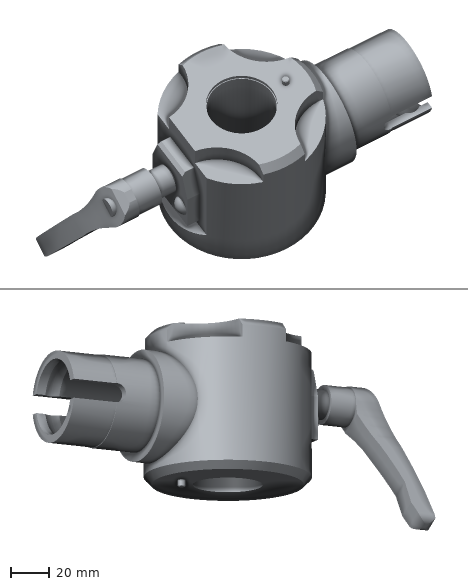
import cadquery as cq
import math


BODY_D = 88.0
BODY_TOP = 43.3
BODY_BOTTOM = -37.2
BODY_CHAMFER = 4.0
BORE_D = 36.6
BORE_RECESS_D = 37.5
BORE_RECESS_DEPTH = 2.0

SCALLOP_R = 27.5
SCALLOP_CENTER_R = 56.8
SCALLOP_DEPTH = 10.5
SCALLOP_COUNT = 4
SCALLOP_START_ANGLE = 45

PIN_D = 4.0
PIN_Y = 27.1
PIN_TOP = 46.7
PIN_BOTTOM = -40.9
PIN_CHAMFER = 0.5

FLAT_Y = -36.6
FLAT_BOTTOM = -17.4
RAMP_DROP = 6.5

COLLAR_D = 59.0
COLLAR_END = 52.4
STUB_D = 49.4
STUB_STEP_Y = 77.3
STUB_TIP_D = 48.5
STUB_END = 102.4
STUB_BORE_D = 40.0
SLOT_WIDTH = 10.1
GROOVE_D = 12.0
GROOVE_DEPTH = 1.6
GROOVE_FROM_END = 9.3

PLATE_THICKNESS = 7.5
PLATE_HALF_WIDTH = 17.4
PLATE_TOP_HALF_WIDTH = 11.7
PLATE_BOTTOM = -12.1
PLATE_TOP = 27.5
PLATE_CHAMFER = 2.0
SCREW_D = 10.5
SCREW_HEIGHT = 3.2
SCREW_X = 11.1
SCREW_Z = -1.2

CLAMP_Z = 11.0
NECK_D = 12.0
NECK_END = -45.3
STEM_D = 16.0
STEM_END = -55.5
HUB_D = 21.0
HUB_END = -69.5
CAP_D = 10.5
CAP_END = -82.3

LEVER_ANGLE = 30.0
LEVER_HEAD_R = 11.1
LEVER_LENGTH = 79.0
LEVER_HEAD_FLAT_AT = 10.7
LEVER_NECK_START = 4.0
LEVER_NECK_MIDDLE_AT = 14.5
LEVER_NECK_MIDDLE_HALF = 7.0
LEVER_ARM_AT = 30.3
LEVER_ARM_HALF = 6.3
LEVER_TIP_HALF = 5.7
LEVER_TIP_ROUND = 4.5
LEVER_FRONT_END = -100.0

HEAD_BEVEL_BACK = (-73.8, LEVER_HEAD_FLAT_AT)
HEAD_BEVEL_FRONT = (-78.3, 7.9)
FRONT_CURVE_MIDDLE = (-91.6, -30.3)
FRONT_CURVE_END = (LEVER_FRONT_END, -77.3)
TIP_BOTTOM = (-95.5, -LEVER_LENGTH)
TIP_BACK = (-89.8, -74.6)
GRIP_BACK_LOW = (-87.5, -68.4)
GRIP_BACK_HIGH = (-87.4, -54.5)
BACK_CURVE_MIDDLE = (-79.7, -32.4)
BACK_CURVE_TOP = (HUB_END, -11.3)

BODY_R = BODY_D / 2
PLATE_FRONT = FLAT_Y - PLATE_THICKNESS


def cylinder_y(diameter, y_start, y_end, x=0, z=0):
    """Cylinder parallel to Y between two Y positions."""
    length = abs(y_end - y_start)
    direction = cq.Vector(0, math.copysign(1, y_end - y_start), 0)
    return cq.Workplane(cq.Solid.makeCylinder(diameter / 2, length, cq.Vector(x, y_start, z), direction))


def make_body():
    body = cq.Workplane().workplane(offset=BODY_BOTTOM).circle(BODY_R).extrude(BODY_TOP - BODY_BOTTOM)
    body = body.faces("<Z or >Z").chamfer(BODY_CHAMFER)
    scallops = (
        cq.Workplane()
        .workplane(offset=BODY_TOP - SCALLOP_DEPTH)
        .polarArray(SCALLOP_CENTER_R, SCALLOP_START_ANGLE, 360, SCALLOP_COUNT)
        .circle(SCALLOP_R)
        .extrude(SCALLOP_DEPTH)
    )
    flat_cut = (
        cq.Workplane("YZ")
        .moveTo(FLAT_Y, BODY_TOP)
        .lineTo(FLAT_Y, FLAT_BOTTOM)
        .lineTo(-BODY_R, FLAT_BOTTOM - RAMP_DROP)
        .lineTo(-BODY_R, BODY_TOP)
        .close()
        .extrude(BODY_R, both=True)
    )
    return body.cut(scallops).cut(flat_cut)


def make_stub():
    collar = cylinder_y(COLLAR_D, 0, COLLAR_END)
    base = cylinder_y(STUB_D, 0, STUB_STEP_Y)
    tip = cylinder_y(STUB_TIP_D, 0, STUB_END)
    return collar.union(base).union(tip)


def make_stub_hollow():
    """Blind bore with a rounded inner groove, and the slot across the open end."""
    bore = cylinder_y(STUB_BORE_D, COLLAR_END, STUB_END)
    groove = cq.Workplane(
        cq.Solid.makeTorus(
            STUB_BORE_D / 2 + GROOVE_DEPTH - GROOVE_D / 2,
            GROOVE_D / 2,
            cq.Vector(0, STUB_END - GROOVE_FROM_END, 0),
            cq.Vector(0, 1, 0),
        )
    )
    slot_length = STUB_END - STUB_STEP_Y
    slot = (
        cq.Workplane("YZ")
        .center(STUB_END, 0)
        .slot2D(2 * slot_length + SLOT_WIDTH, SLOT_WIDTH)
        .extrude(STUB_D, both=True)
    )
    return bore.union(groove).union(slot)


def make_bore():
    recess = cq.Workplane().workplane(offset=BODY_TOP - BORE_RECESS_DEPTH)
    recess = recess.circle(BORE_RECESS_D / 2).extrude(BORE_RECESS_DEPTH)
    bore = cq.Workplane().workplane(offset=BODY_BOTTOM).circle(BORE_D / 2).extrude(BODY_TOP - BODY_BOTTOM)
    return bore.union(recess)


def make_pins():
    """The two end pins, made as one rod running through the wall of the body."""
    rod = cq.Workplane().workplane(offset=PIN_BOTTOM).center(0, PIN_Y).circle(PIN_D / 2)
    return rod.extrude(PIN_TOP - PIN_BOTTOM).faces("<Z or >Z").chamfer(PIN_CHAMFER)


def make_plate():
    plate = (
        cq.Workplane("XZ", origin=(0, FLAT_Y, 0))
        .moveTo(-PLATE_HALF_WIDTH, PLATE_BOTTOM)
        .lineTo(PLATE_HALF_WIDTH, PLATE_BOTTOM)
        .lineTo(PLATE_HALF_WIDTH, CLAMP_Z)
        .lineTo(PLATE_TOP_HALF_WIDTH, PLATE_TOP)
        .lineTo(-PLATE_TOP_HALF_WIDTH, PLATE_TOP)
        .lineTo(-PLATE_HALF_WIDTH, CLAMP_Z)
        .close()
        .extrude(PLATE_THICKNESS)
    )
    return plate.faces(">Z").edges("<Y").chamfer(PLATE_CHAMFER)


def make_screw_head(x):
    """Domed screw head on the plate."""
    screw_r = SCREW_D / 2
    dome_r = (screw_r**2 + SCREW_HEIGHT**2) / (2 * SCREW_HEIGHT)
    dome_center_y = PLATE_FRONT - SCREW_HEIGHT + dome_r
    dome = cq.Workplane().sphere(dome_r).translate((x, dome_center_y, SCREW_Z))
    return dome.intersect(cylinder_y(SCREW_D, FLAT_Y, PLATE_FRONT - SCREW_HEIGHT, x, SCREW_Z))


def make_stem():
    neck = cylinder_y(NECK_D, FLAT_Y, NECK_END, z=CLAMP_Z)
    stem = cylinder_y(STEM_D, NECK_END, STEM_END, z=CLAMP_Z)
    hub = cylinder_y(HUB_D, STEM_END, HUB_END, z=CLAMP_Z)
    cap = cylinder_y(CAP_D, HUB_END, CAP_END, z=CLAMP_Z)
    return neck.union(stem).union(hub).union(cap)


def make_lever():
    """Curved lever, built hanging straight down, then swung about the clamp axis."""
    depth = HUB_END - LEVER_FRONT_END
    neck_start_half = math.sqrt(LEVER_HEAD_R**2 - LEVER_NECK_START**2)
    neck_half = LEVER_NECK_MIDDLE_HALF
    neck_at = LEVER_NECK_MIDDLE_AT
    arm = (
        cq.Workplane("XZ", origin=(0, HUB_END, 0))
        .moveTo(-neck_start_half, -LEVER_NECK_START)
        .threePointArc((0, LEVER_HEAD_R), (neck_start_half, -LEVER_NECK_START))
        .threePointArc((neck_half, -neck_at), (LEVER_ARM_HALF, -LEVER_ARM_AT))
        .lineTo(LEVER_TIP_HALF, -LEVER_LENGTH)
        .lineTo(-LEVER_TIP_HALF, -LEVER_LENGTH)
        .lineTo(-LEVER_ARM_HALF, -LEVER_ARM_AT)
        .threePointArc((-neck_half, -neck_at), (-neck_start_half, -LEVER_NECK_START))
        .close()
        .extrude(depth)
        .faces("<Z")
        .edges("|Y")
        .fillet(LEVER_TIP_ROUND)
    )
    side_profile = (
        cq.Workplane("YZ")
        .moveTo(HUB_END, LEVER_HEAD_FLAT_AT)
        .lineTo(*HEAD_BEVEL_BACK)
        .lineTo(*HEAD_BEVEL_FRONT)
        .threePointArc(FRONT_CURVE_MIDDLE, FRONT_CURVE_END)
        .threePointArc(TIP_BOTTOM, TIP_BACK)
        .lineTo(*GRIP_BACK_LOW)
        .lineTo(*GRIP_BACK_HIGH)
        .threePointArc(BACK_CURVE_MIDDLE, BACK_CURVE_TOP)
        .close()
        .extrude(LEVER_HEAD_R, both=True)
    )
    lever = arm.intersect(side_profile)
    return lever.rotate((0, 0, 0), (0, 1, 0), LEVER_ANGLE).translate((0, 0, CLAMP_Z))


result = make_body().union(make_stub()).cut(make_stub_hollow()).cut(make_bore())
result = result.union(make_pins()).union(make_plate())
for screw_x in (-SCREW_X, SCREW_X):
    result = result.union(make_screw_head(screw_x))
result = result.union(make_stem()).union(make_lever())